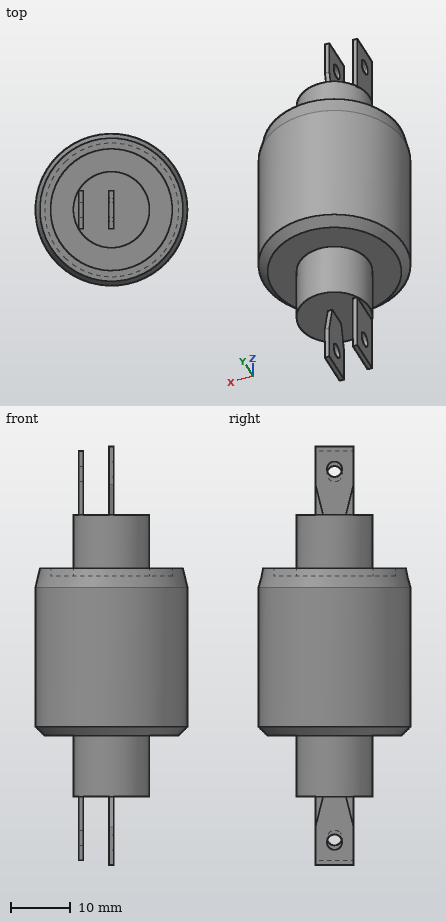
import cadquery as cq

body_radius = 12.7
body_top_z = 14.605
body_height = 27.94
body_bottom_z = body_top_z - body_height
top_bevel_height = 3.175
top_bevel_inset = 0.762
bottom_chamfer = 1.524
recess_radius = 10.16
recess_depth = 1.27

neck_radius = 6.35
tab_length = 11.43
overall_length = 69.85
neck_end_z = overall_length / 2 - tab_length

tab_width = 6.35
tab_thickness = 0.8128
tab_hole_diameter = 2.54
tab_hole_from_tip = 3.81
tab_straight_length = 6.35
tab_root_inset = 1.27
tab_embed = 1.0
side_tab_x = -5.08
side_tab_shortening = 0.762


def make_body():
    """Barrel with a steep bevel on top, a chamfer below and a shallow round recess in its top."""
    barrel_profile = [
        (0, body_bottom_z),
        (body_radius - bottom_chamfer, body_bottom_z),
        (body_radius, body_bottom_z + bottom_chamfer),
        (body_radius, body_top_z - top_bevel_height),
        (body_radius - top_bevel_inset, body_top_z),
        (recess_radius, body_top_z),
        (recess_radius, body_top_z - recess_depth),
        (0, body_top_z - recess_depth),
    ]
    return cq.Workplane("XZ").polyline(barrel_profile).close().revolve(360, (0, 0), (0, 1))


def make_necks():
    """One cylinder through the barrel forms both necks."""
    return cq.Workplane("XY").circle(neck_radius).extrude(neck_end_z, both=True)


def make_tab(x_center, length, root_inset):
    """Upper terminal tab; its sides narrow by root_inset from the straight part down to the neck."""
    tip_z = neck_end_z + length
    half_width = tab_width / 2
    root_half_width = half_width - root_inset
    shoulder_z = tip_z - tab_straight_length
    embedded_z = neck_end_z - tab_embed
    outline = [
        (-root_half_width, embedded_z),
        (root_half_width, embedded_z),
        (root_half_width, neck_end_z),
        (half_width, shoulder_z),
        (half_width, tip_z),
        (-half_width, tip_z),
        (-half_width, shoulder_z),
        (-root_half_width, neck_end_z),
    ]
    tab_plane = cq.Workplane("YZ", origin=(x_center, 0, 0))
    plate = tab_plane.polyline(outline).close().extrude(tab_thickness / 2, both=True)
    hole = (
        tab_plane.center(0, tip_z - tab_hole_from_tip)
        .circle(tab_hole_diameter / 2)
        .extrude(tab_thickness, both=True)
    )
    return plate.cut(hole)


result = make_body().union(make_necks())
for tab in (
    make_tab(0, tab_length, tab_root_inset),
    make_tab(side_tab_x, tab_length - side_tab_shortening, 0),
):
    result = result.union(tab).union(tab.mirror("XY"))
result = result.clean()